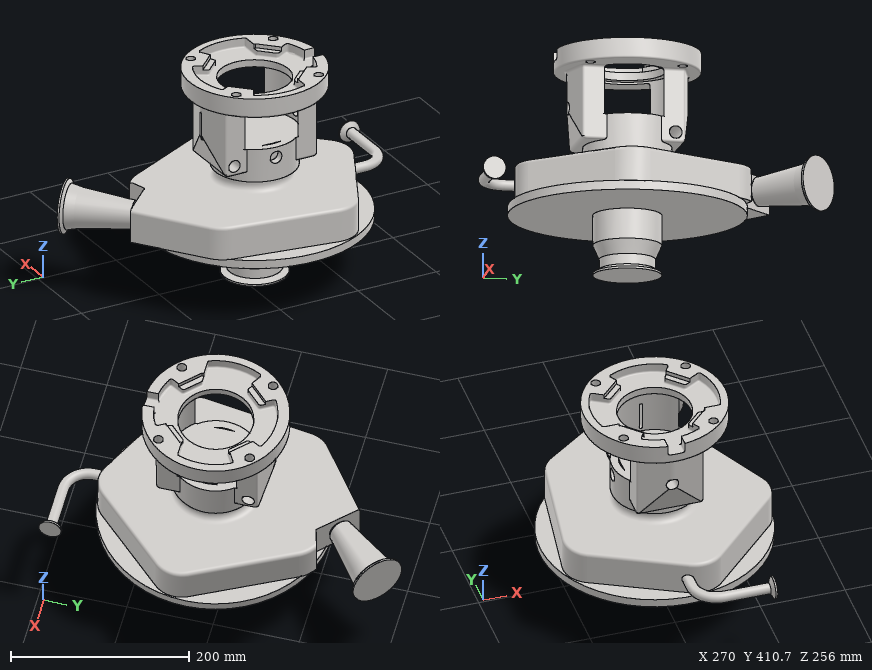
import cadquery as cq
import math


plate_radius = 135.0
plate_thickness = 10.3
inlet_radius = 39.0
inlet_throat_radius = 31.85
inlet_taper_start = -34.5
inlet_taper_end = -50.5
inlet_ferrule_neck = -62.5
inlet_bottom = -69.0
ferrule_lip = 2.5

casing_top = 51.0
casing_inradius = 114.3
casing_corner_radius = 34.0
casing_edge_radius = 5.0
casing_first_normal = 171.5
outlet_angle = 45
outlet_face_distance = 109.7
outlet_face_left = 123.7
outlet_face_right = 66.0
casing_lip_end = (54.5, 131.0)
casing_lip_tangent = (70.3, 114.5)

outlet_offset = 96.0
outlet_height = 31.5
outlet_neck_radius = 12.5
outlet_neck_length = 3.3
outlet_small_half_width = 14.0
outlet_small_half_height = 17.0
outlet_large_radius = 24.0
outlet_cone_end = 176.7
outlet_tube_radius = 26.7
outlet_ferrule_neck = 189
outlet_ferrule_radius = 31.85
outlet_end = 194.5

drain_radius = 6.5
drain_height = 28.8
drain_bend_start = -141.0
drain_bend_radius = 28.8
drain_ferrule_start = 82
drain_end = 88.5
drain_ferrule_radius = 13.0

neck_radius = 45.2
neck_fillet = 10.0
collar_radius = 50.0
collar_bottom = 67.0
collar_top = 107.5
groove_outer_radius = 40.5
groove_inner_radius = 39.5
groove_depth = 4
collar_hole_radius = 7.5
collar_hole_height = 95.0
collar_hole_depth = 10.0

leg_half_width = 39.0
leg_ridge = 70
leg_corner = 58.5
leg_ridge_radius = 11.5
leg_edge_radius = 3.0
leg_bottom = 78
leg_bottom_radius = 5.8
leg_bore_radius = 51.8
leg_slope_top = 119.5
leg_root_radius = 3.3
front_hole_radius = 7.2
front_hole_height = 120.5
rear_slot_width = 3.5
rear_slot_bottom = 111
rear_slot_top = 146.0
cross_hole_radius = 7.2
cross_hole_y = 47.5
cross_hole_height = 90.0

flange_radius = 83.5
flange_bottom = 163.0
flange_top = 187.0
flange_edge_radius = 2.5
flange_bore_radius = 42.7
flange_relief_top = 165.5
recess_depth = 12.5
recess_end_radius = 70
recess_side_radius = 74
recess_inner_distance = 49.5
recess_corner_radius = 3.0
recess_floor_radius = 2.5
recess_side_edge = 26.7
register_distance = 56.5
register_depth = 5.0
flange_slot_width = 19.7
bolt_circle_radius = 75.0
bolt_hole_radius = 5.5
bolt_count = 4


def polar(radius, degrees):
    angle = math.radians(degrees)
    return (radius * math.cos(angle), radius * math.sin(angle))


def cylinder(radius, bottom, top):
    return cq.Workplane("XY").workplane(offset=bottom).circle(radius).extrude(top - bottom)


def turned(profile):
    """Solid turned about Z from (radius, height) points."""
    return cq.Workplane("XZ").polyline(profile).close().revolve(360, (0, 0), (0, 1))


def make_plate_and_inlet():
    profile = [
        (0, plate_thickness),
        (plate_radius, plate_thickness),
        (plate_radius, 0),
        (inlet_radius, 0),
        (inlet_radius, inlet_taper_start),
        (inlet_throat_radius, inlet_taper_end),
        (inlet_throat_radius, inlet_ferrule_neck),
        (inlet_radius, inlet_bottom + ferrule_lip),
        (inlet_radius, inlet_bottom),
        (0, inlet_bottom),
    ]
    return turned(profile)


def outlet_point(distance, left):
    """Plan point at a distance along the outlet direction and a shift to its left."""
    along = polar(distance, outlet_angle)
    across = polar(left, outlet_angle + 90)
    return (along[0] + across[0], along[1] + across[1])


def make_casing():
    circumradius = casing_inradius / math.cos(math.radians(36))
    corners = [polar(circumradius, casing_first_normal - 36 + 72 * i) for i in range(4)]
    outline = (
        cq.Workplane("XY")
        .workplane(offset=plate_thickness)
        .moveTo(*outlet_point(outlet_face_distance, outlet_face_left))
    )
    for corner in corners:
        outline = outline.lineTo(*corner)
    casing = (
        outline.lineTo(*casing_lip_tangent)
        .tangentArcPoint(casing_lip_end, relative=False)
        .lineTo(*outlet_point(outlet_face_distance, outlet_face_right))
        .close()
        .extrude(casing_top - plate_thickness)
    )
    for x, y in corners:
        corner_edge = cq.selectors.NearestToPointSelector((x, y, casing_top / 2))
        casing = casing.edges(corner_edge).fillet(casing_corner_radius)

    lip_start = outlet_point(outlet_face_distance, outlet_face_right)
    lip_middle = [(start + end) / 2 for start, end in zip(lip_start, casing_lip_end)]
    face_middle = outlet_point(outlet_face_distance, (outlet_face_left + outlet_face_right) / 2)
    lip_edge, face_edge = [
        cq.selectors.NearestToPointSelector((x, y, casing_top)) for x, y in (lip_middle, face_middle)
    ]
    rim = casing.faces(">Z").edges(cq.selectors.InverseSelector(lip_edge + face_edge))
    return rim.fillet(casing_edge_radius)


def make_outlet():
    cone_start = outlet_face_distance + outlet_neck_length
    neck = cylinder(outlet_neck_radius, outlet_face_distance - outlet_neck_length, cone_start)
    cone = (
        cq.Workplane("XY")
        .workplane(offset=cone_start)
        .ellipse(outlet_small_half_height, outlet_small_half_width)
        .workplane(offset=outlet_cone_end - cone_start)
        .circle(outlet_large_radius)
        .loft()
    )
    end_profile = [
        (0, outlet_cone_end),
        (outlet_large_radius, outlet_cone_end),
        (outlet_tube_radius, outlet_ferrule_neck),
        (outlet_ferrule_radius, outlet_end - ferrule_lip),
        (outlet_ferrule_radius, outlet_end),
        (0, outlet_end),
    ]
    shift = outlet_point(0, outlet_offset)
    return (
        neck.union(cone)
        .union(turned(end_profile))
        .rotate((0, 0, 0), (0, 1, 0), 90)
        .rotate((0, 0, 0), (0, 0, 1), outlet_angle)
        .translate((shift[0], shift[1], outlet_height))
    )


def make_drain():
    pipe_y = drain_bend_start - drain_bend_radius
    path = (
        cq.Workplane("XY")
        .workplane(offset=drain_height)
        .moveTo(0, -casing_inradius)
        .lineTo(0, drain_bend_start)
        .tangentArcPoint((drain_bend_radius, pipe_y), relative=False)
        .lineTo(drain_ferrule_start, pipe_y)
    )
    pipe = (
        cq.Workplane("XZ", origin=(0, -casing_inradius, drain_height)).circle(drain_radius).sweep(path)
    )
    profile = [
        (0, 0),
        (drain_radius, 0),
        (drain_ferrule_radius, drain_end - drain_ferrule_start - ferrule_lip),
        (drain_ferrule_radius, drain_end - drain_ferrule_start),
        (0, drain_end - drain_ferrule_start),
    ]
    ferrule = (
        turned(profile)
        .rotate((0, 0, 0), (0, 1, 0), 90)
        .translate((drain_ferrule_start, pipe_y, drain_height))
    )
    return pipe.union(ferrule)


def make_neck_and_collar():
    foot_radius = neck_radius + neck_fillet
    body = (
        cq.Workplane("XZ")
        .moveTo(0, plate_thickness)
        .lineTo(foot_radius, plate_thickness)
        .lineTo(foot_radius, casing_top)
        .radiusArc((neck_radius, casing_top + neck_fillet), neck_fillet)
        .lineTo(neck_radius, collar_bottom)
        .lineTo(collar_radius, collar_bottom)
        .lineTo(collar_radius, collar_top)
        .lineTo(groove_outer_radius, collar_top)
        .lineTo(groove_outer_radius, collar_top - groove_depth)
        .lineTo(groove_inner_radius, collar_top - groove_depth)
        .lineTo(groove_inner_radius, collar_top)
        .lineTo(0, collar_top)
        .close()
        .revolve(360, (0, 0), (0, 1))
    )
    hole = (
        cq.Workplane("YZ", origin=(-collar_radius, 0, collar_hole_height))
        .circle(collar_hole_radius)
        .extrude(collar_hole_depth)
    )
    return body.cut(hole)


def make_front_leg():
    plan = [
        (-leg_half_width, 0),
        (-leg_half_width, -leg_corner),
        (0, -leg_ridge),
        (leg_half_width, -leg_corner),
        (leg_half_width, 0),
    ]
    leg = (
        cq.Workplane("XY")
        .workplane(offset=leg_bottom)
        .polyline(plan)
        .close()
        .extrude(flange_bottom - leg_bottom)
    )
    slice_profile = [
        (-leg_ridge, leg_slope_top),
        (-leg_ridge, leg_bottom),
        (-leg_corner, leg_bottom),
    ]
    ridge_slice = (
        cq.Workplane("YZ").polyline(slice_profile).close().extrude(leg_half_width, both=True)
    )
    leg = leg.edges("|Z and <Y").fillet(leg_ridge_radius)
    leg = leg.cut(ridge_slice)
    leg = leg.faces("<Z").edges("<Y").fillet(leg_bottom_radius)
    leg = leg.faces("<X or >X").edges("not(>Y or >Z)").fillet(leg_edge_radius)
    return leg


def make_legs():
    front = make_front_leg()
    legs = front.union(front.mirror("XZ")).cut(cylinder(leg_bore_radius, collar_top, flange_bottom))
    front_hole = (
        cq.Workplane("XZ", origin=(0, 0, front_hole_height))
        .circle(front_hole_radius)
        .extrude(flange_radius)
    )
    slot_length = rear_slot_top - rear_slot_bottom
    rear_slot = (
        cq.Workplane("XZ", origin=(0, 0, rear_slot_bottom + slot_length / 2))
        .slot2D(slot_length, rear_slot_width, 90)
        .extrude(-flange_radius)
    )
    return legs.cut(front_hole).cut(rear_slot)


def eight_sided(distance, bottom):
    """Prism up to the flange top with its four diagonal sides at a distance from the axis."""
    corner_radius = distance / math.cos(math.radians(15))
    corners = [polar(corner_radius, 90 * i + turn) for i in range(4) for turn in (30, 60)]
    plane = cq.Workplane("XY").workplane(offset=bottom)
    return plane.polyline(corners).close().extrude(flange_top - bottom)


def make_recess():
    """Pocket of the flange: four fan-shaped bays round an open centre, and a slot to the rim."""
    floor = flange_top - recess_depth
    far = 2 * flange_radius
    end_bay = [(0, 0), polar(far, 60), polar(far, 120)]
    side_bay = [(0, 0), polar(far, 30), (far, -recess_side_edge), (0, -recess_side_edge)]
    plane = cq.Workplane("XY").workplane(offset=floor)
    recess = eight_sided(recess_inner_distance, floor)
    for outline, rim_radius, mirror_plane in (
        (end_bay, recess_end_radius, "XZ"),
        (side_bay, recess_side_radius, "YZ"),
    ):
        bay = plane.polyline(outline).close().extrude(recess_depth)
        bay = bay.intersect(cylinder(rim_radius, floor, flange_top))
        recess = recess.union(bay).union(bay.mirror(mirror_plane))
    recess = recess.edges("|Z").fillet(recess_corner_radius)
    slot = plane.center(0, -flange_radius / 2).rect(flange_slot_width, flange_radius).extrude(recess_depth)
    recess = recess.union(slot)
    return recess.faces("<Z").edges("not <Y").fillet(recess_floor_radius)


def make_flange():
    flange = cylinder(flange_radius, flange_bottom, flange_top)
    flange = flange.faces("<Z").edges().fillet(flange_edge_radius)
    return flange


def cut_flange(body):
    body = body.cut(make_recess())
    body = body.cut(eight_sided(register_distance, flange_top - register_depth))
    body = body.cut(cylinder(flange_bore_radius, flange_bottom, flange_top))
    body = body.cut(cylinder(leg_bore_radius, collar_top, flange_relief_top))
    bolt_holes = (
        cq.Workplane("XY")
        .workplane(offset=flange_bottom)
        .polarArray(bolt_circle_radius, 45, 360, bolt_count)
        .circle(bolt_hole_radius)
        .extrude(flange_top - flange_bottom)
    )
    return body.cut(bolt_holes)


def make_bracket():
    body = make_flange().union(make_legs())
    roots = body.faces(cq.selectors.NearestToPointSelector((0, 0, flange_bottom))).edges("not %CIRCLE")
    return cut_flange(roots.fillet(leg_root_radius))


cross_hole = (
    cq.Workplane("YZ", origin=(0, cross_hole_y, cross_hole_height))
    .circle(cross_hole_radius)
    .extrude(collar_radius, both=True)
)
result = (
    make_plate_and_inlet()
    .union(make_casing())
    .union(make_outlet())
    .union(make_drain())
    .union(make_neck_and_collar())
    .union(make_bracket())
    .cut(cross_hole)
)